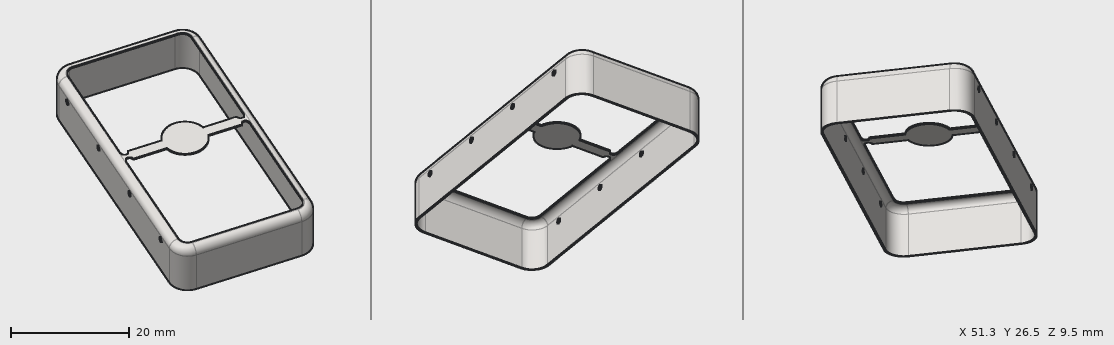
import cadquery as cq

length = 51.3
width = 26.5
height = 9.5
corner_radius = 3.45
rim_radius = 1.55
rim_flat = 0.2
wall = 0.3

hole_diameter = 1.0
hole_pitch = 12.5
hole_count = 4
hole_depth_below_top = 2.5

bridge_thickness = wall
disc_diameter = 8.0
arm_width = 2.1
neck_width = 0.75
notch_radius = (arm_width - neck_width) / 2
notch_center_gap = 0.7

rim_width = rim_radius + rim_flat
opening_width = width - 2 * rim_width


def rounded_block(inset, block_height):
    """Upright block with rounded corners, inset evenly from the frame's outer sides."""
    return (
        cq.Workplane("XY")
        .rect(length - 2 * inset, width - 2 * inset)
        .extrude(block_height)
        .edges("|Z")
        .fillet(corner_radius - inset)
    )


def make_frame():
    outer = rounded_block(0, height).faces(">Z").edges().fillet(rim_radius)
    cavity = rounded_block(wall, height - wall).faces(">Z").edges().fillet(rim_radius - wall)
    opening = rounded_block(rim_width, height)
    return outer.cut(cavity).cut(opening)


def make_side_holes():
    return (
        cq.Workplane("XZ", origin=(0, 0, height - hole_depth_below_top))
        .rarray(hole_pitch, 0.5, hole_count, 1)
        .circle(hole_diameter / 2)
        .extrude(width / 2, both=True)
    )


def make_bridge():
    plane = cq.Workplane("XY", origin=(0, 0, height - bridge_thickness))
    arms = plane.rect(arm_width, opening_width + rim_flat).extrude(bridge_thickness)
    notch_y = opening_width / 2 - notch_center_gap
    notches = (
        plane.rect(arm_width, 2 * notch_y, forConstruction=True)
        .vertices()
        .circle(notch_radius)
        .extrude(bridge_thickness)
    )
    disc = plane.circle(disc_diameter / 2).extrude(bridge_thickness)
    return arms.cut(notches).union(disc)


result = make_frame().cut(make_side_holes()).union(make_bridge())